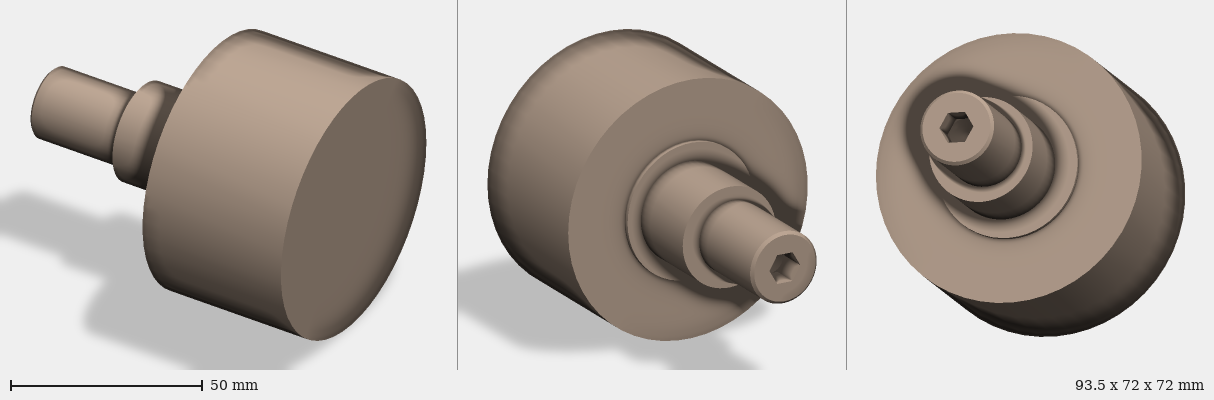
import cadquery as cq
import math

stud_length = 27.5
collar_length = 22.0
flange_length = 1.5
roller_length = 42.5

stud_diameter = 20.0
collar_diameter = 28.0
flange_diameter = 38.0
roller_diameter = 72.0

collar_offset_y = 1.0

stud_chamfer = 0.8

hex_sides = 6
hex_across_flats = 8.0
hex_depth = 8.0
socket_tip_angle = 120.0

collar_start = stud_length
flange_start = collar_start + collar_length
roller_start = flange_start + flange_length


def cylinder_along_x(start, length, diameter, offset_y=0.0):
    """Solid cylinder along +X, beginning at the given axial station."""
    return (
        cq.Workplane("YZ", origin=(start, offset_y, 0))
        .circle(diameter / 2)
        .extrude(length)
    )


def make_stud():
    """Stud with a chamfered free end."""
    stud = cylinder_along_x(0, stud_length, stud_diameter)
    return stud.faces("<X").chamfer(stud_chamfer)


def make_hex_socket():
    """Hexagonal blind hole, two corners along Y, ending in a drill cone."""
    across_corners = hex_across_flats / math.cos(math.pi / hex_sides)
    prism = cq.Workplane("YZ").polygon(hex_sides, across_corners).extrude(hex_depth)
    cone_radius = hex_across_flats / 2
    cone_height = cone_radius / math.tan(math.radians(socket_tip_angle / 2))
    cone = cq.Workplane(
        cq.Solid.makeCone(
            cone_radius,
            0,
            cone_height,
            pnt=cq.Vector(hex_depth, 0, 0),
            dir=cq.Vector(1, 0, 0),
        )
    )
    return prism.union(cone)


collar = cylinder_along_x(collar_start, collar_length, collar_diameter, collar_offset_y)
flange = cylinder_along_x(flange_start, flange_length, flange_diameter)
roller = cylinder_along_x(roller_start, roller_length, roller_diameter)

result = make_stud().union(collar).union(flange).union(roller).cut(make_hex_socket())